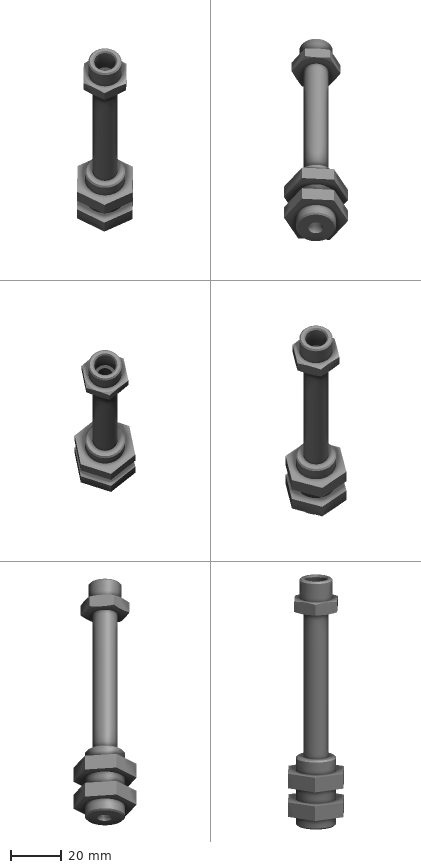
import cadquery as cq
import math

total_length = 101.0
bore_diameter = 6.0

barrel_diameter = 16.0
barrel_length = 28.2
barrel_chamfer = 0.6

nut_across_flats = 22.0
nut_thickness = 6.0
nut_bottoms = (4.8, 16.6)

rod_diameter = 10.0

collar_across_flats = 17.0
collar_thickness = 5.0
collar_face_diameter = 16.8
collar_bevel_drop = 0.4

spigot_diameter = 13.2
spigot_length = 8.0
spigot_chamfer = 0.6
socket_diameter = 8.6
socket_depth = 10.1
socket_chamfer = 0.6

collar_top = total_length - spigot_length
collar_bottom = collar_top - collar_thickness


def cylinder(diameter, bottom, height):
    return cq.Workplane("XY").workplane(offset=bottom).circle(diameter / 2).extrude(height)


def hexagon(across_flats, bottom, height):
    """Hexagonal prism with corners on the X axis."""
    across_corners = across_flats / math.cos(math.pi / 6)
    return cq.Workplane("XY").workplane(offset=bottom).polygon(6, across_corners).extrude(height)


def bevelled_collar():
    """Hexagon trimmed by a cone at both ends."""
    corner_radius = collar_across_flats / 2 / math.cos(math.pi / 6)
    face_radius = collar_face_diameter / 2
    envelope = (
        cq.Workplane("XZ")
        .polyline([
            (0, collar_bottom),
            (face_radius, collar_bottom),
            (corner_radius, collar_bottom + collar_bevel_drop),
            (corner_radius, collar_top - collar_bevel_drop),
            (face_radius, collar_top),
            (0, collar_top),
        ])
        .close()
        .revolve(360, (0, 0, 0), (0, 1, 0))
    )
    return hexagon(collar_across_flats, collar_bottom, collar_thickness).intersect(envelope)


barrel = cylinder(barrel_diameter, 0, barrel_length).faces("<Z or >Z").chamfer(barrel_chamfer)
rod = cylinder(rod_diameter, barrel_length, collar_bottom - barrel_length)
spigot = cylinder(spigot_diameter, collar_top, spigot_length).faces(">Z").chamfer(spigot_chamfer)
body = barrel.union(rod).union(bevelled_collar()).union(spigot)

for nut_bottom in nut_bottoms:
    body = body.union(hexagon(nut_across_flats, nut_bottom, nut_thickness))

body = body.cut(cylinder(bore_diameter, 0, total_length))
body = body.cut(cylinder(socket_diameter, total_length - socket_depth, socket_depth))
mouth = (
    cq.Workplane("XY")
    .workplane(offset=total_length)
    .circle(socket_diameter / 2 + socket_chamfer)
    .workplane(offset=-socket_chamfer)
    .circle(socket_diameter / 2)
    .loft()
)

result = body.cut(mouth)